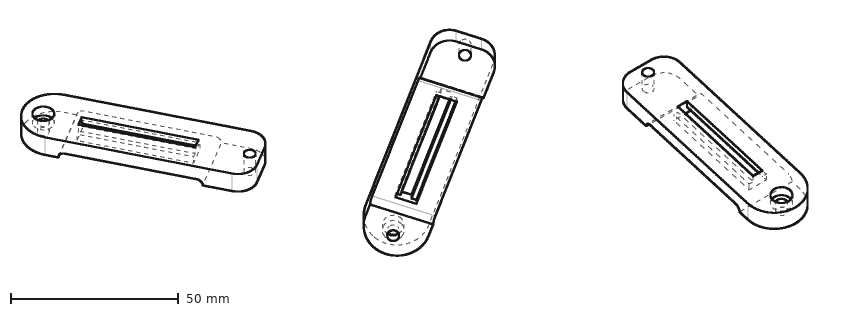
import cadquery as cq

length = 74.0
width = 20.0
thickness = 7.0
square_end_radius = 6.0
round_end_radius = width / 2

hole_diameter = 3.55
counterbore_diameter = 6.5
counterbore_depth = 3.5
round_end_hole_x = 6.5
square_end_hole_x = 70.5

slot_start = 17.9
slot_end = 54.1
slot_width = 3.5
slot_lip_thickness = 2.5
slot_head_width = counterbore_diameter

relief_start = 14.05
relief_end = 58.8
relief_depth = 2.0
relief_radius = 1.9


def make_bar():
    """Flat bar with one semicircular end and one end with rounded corners."""
    half = width / 2
    round_end = cq.Workplane("XY").center(round_end_radius, 0).circle(round_end_radius).extrude(thickness)
    body = (
        cq.Workplane("XY")
        .moveTo(round_end_radius, -half)
        .lineTo(length, -half)
        .lineTo(length, half)
        .lineTo(round_end_radius, half)
        .close()
        .extrude(thickness)
        .edges("|Z and >X")
        .fillet(square_end_radius)
    )
    return body.union(round_end)


def make_channel(start, end, channel_width, height):
    """Rectangular cutter along X, rising from the underside of the bar."""
    return (
        cq.Workplane("XY")
        .box(end - start, channel_width, height, centered=(False, True, False))
        .translate((start, 0, 0))
    )


def make_relief():
    """Shallow channel across the bar whose two upper corners are rounded."""
    channel = make_channel(relief_start, relief_end, width, relief_depth)
    return channel.edges("|Y and >Z").fillet(relief_radius)


def make_slot():
    """Through slot with a wider channel underneath its lip."""
    through = make_channel(slot_start, slot_end, slot_width, thickness)
    head_clearance = make_channel(slot_start, slot_end, slot_head_width, thickness - slot_lip_thickness)
    return through.union(head_clearance)


bar = make_bar().cut(make_relief()).cut(make_slot())
top = bar.faces(">Z").workplane(origin=(0, 0, thickness))
bar = top.center(round_end_hole_x, 0).cboreHole(hole_diameter, counterbore_diameter, counterbore_depth)
top = bar.faces(">Z").workplane(origin=(0, 0, thickness))
result = top.center(square_end_hole_x, 0).hole(hole_diameter)